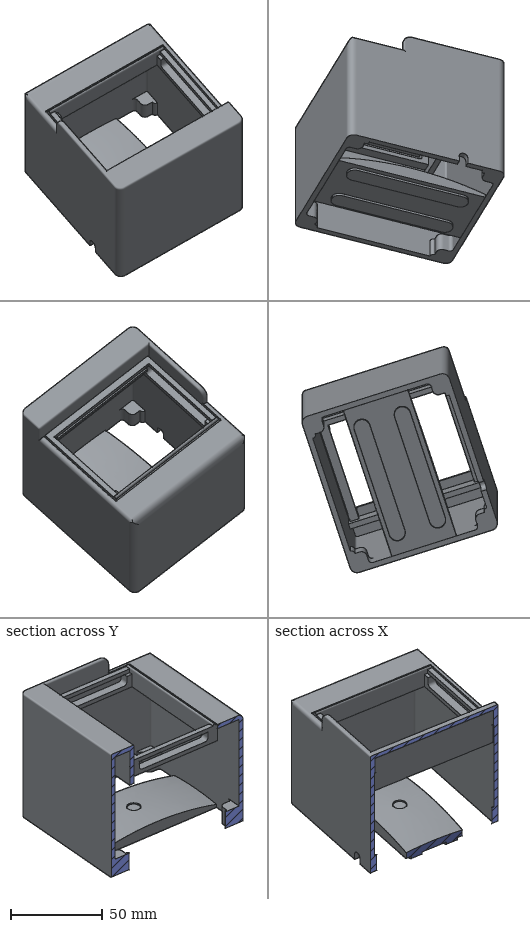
import cadquery as cq
import math

LENGTH = 92.0
WIDTH = 84.5
DECK_Z = 70.1
TOP_Z = 80.1
WALL = 3.0
CORNER_R = 4.05
SIDE_EDGE_R = 2.0
RAISED_EDGE_R = 1.0
OPENING_X0 = 18.0
BLOCK_X0 = 76.0
BLOCK_WALL_Z0 = 54.8
SIDE_WALL_X0 = 31.9
SIDE_WALL_CORNER_R = 5.0

NOTCH_X = 66.9
NOTCH_WIDTH = 5.0
NOTCH_HEIGHT = 6.2

BOSS_SIDE = 7.8
BOSS_HEIGHT = 11.0
BOSS_CORNER_R = 3.0
BOSS_BLEND_R = 2.0

FRAME_GAP = 0.9
FRAME_TOP_Z = DECK_Z
FRAME_HEIGHT = 10.7
LIP_HEIGHT = 2.5
WINDOW_X0 = 21.0
WINDOW_X1 = 71.9
RAIL_WIDTH = 3.0
LEDGE_WIDTH = 2.0
SLOT_X0 = 24.6
SLOT_X1 = 72.2
SLOT_HEIGHT = 5.6
SLOT_R = 2.0
REAR_TAB_WIDTH = 1.0
REAR_TAB_HEIGHT = 1.75
BEAD_R = 1.0

PLATE_WIDTH = 37.2
PLATE_EDGE_Z = 3.0
DOME_R = 174.8
RECESS_D = 7.7
RECESS_DEPTH = 0.9
FOOT_LENGTH = 70.9
FOOT_WIDTH = 8.9
FOOT_HEIGHT = 1.5
FOOT_SPACING = 23.2

MID_X = LENGTH / 2
MID_Y = WIDTH / 2
INNER_X1 = LENGTH - WALL
INNER_Y1 = WIDTH - WALL
INNER_LENGTH = LENGTH - 2 * WALL
INNER_R = CORNER_R - WALL


def box(x0, x1, y0, y1, z0, z1):
    """A box given by its limits along each axis."""
    return cq.Workplane("XY").box(x1 - x0, y1 - y0, z1 - z0, centered=False).translate((x0, y0, z0))


def rounded_plan(x0, x1, y0, y1, z0, z1, radius):
    """A box with rounded vertical corners."""
    return box(x0, x1, y0, y1, z0, z1).edges("|Z").fillet(radius)


def lower_shell():
    """Block up to the deck: the common part of three prisms, each rounding one set of edges."""
    plan = rounded_plan(0, LENGTH, 0, WIDTH, 0, DECK_Z, CORNER_R)
    side_profile = box(0, LENGTH, 0, WIDTH, 0, DECK_Z).edges("<X and >Z").fillet(CORNER_R)
    end_profile = box(0, LENGTH, 0, WIDTH, 0, DECK_Z).edges("|X and >Z").fillet(SIDE_EDGE_R)
    return plan.intersect(side_profile).intersect(end_profile)


def raised_part():
    """Rear block over the full width, and the -Y wall that runs forward from it."""
    base_z = DECK_Z - SIDE_EDGE_R
    block = box(BLOCK_X0, LENGTH, 0, WIDTH, base_z, TOP_Z)
    side_wall = box(SIDE_WALL_X0, LENGTH, 0, WALL, base_z, TOP_Z)
    raised = block.union(side_wall)
    raised = raised.edges("|Z and >X").fillet(CORNER_R)
    raised = raised.edges("|Y and <X and >Z").fillet(SIDE_WALL_CORNER_R)
    raised = raised.edges("|Z").edges(">Y").edges("<X").fillet(RAISED_EDGE_R)
    return raised.faces(">Z").edges().fillet(RAISED_EDGE_R)


def cavity():
    """Inside of the housing, open at the bottom and through the top between deck and block."""
    main = rounded_plan(WALL, INNER_X1, WALL, INNER_Y1, 0, DECK_Z - WALL, INNER_R)
    opening = box(OPENING_X0, BLOCK_X0, WALL, INNER_Y1, 0, TOP_Z)
    block_inside = rounded_plan(BLOCK_X0 + WALL, INNER_X1, WALL, INNER_Y1, 0, TOP_Z - WALL, INNER_R)
    block_wall = box(BLOCK_X0, BLOCK_X0 + WALL, WALL, INNER_Y1, BLOCK_WALL_Z0, TOP_Z)
    return main.union(opening).union(block_inside).cut(block_wall)


def cable_notch():
    """Round-topped notch through the -Y wall at its lower edge."""
    straight_height = NOTCH_HEIGHT - NOTCH_WIDTH / 2
    return (
        cq.Workplane("XZ")
        .moveTo(NOTCH_X - NOTCH_WIDTH / 2, 0)
        .lineTo(NOTCH_X - NOTCH_WIDTH / 2, straight_height)
        .threePointArc((NOTCH_X, NOTCH_HEIGHT), (NOTCH_X + NOTCH_WIDTH / 2, straight_height))
        .lineTo(NOTCH_X + NOTCH_WIDTH / 2, 0)
        .close()
        .extrude(-WALL)
    )


def corner_post():
    """Post in the inner corner at (WALL, WALL), blended into both walls."""
    root = -WALL / 2
    toe = BOSS_SIDE + BOSS_BLEND_R
    shoulder = BOSS_SIDE - BOSS_CORNER_R
    return (
        cq.Workplane("XY", origin=(WALL, WALL, 0))
        .moveTo(root, root)
        .lineTo(toe, root)
        .lineTo(toe, 0)
        .tangentArcPoint((BOSS_SIDE, BOSS_BLEND_R), relative=False)
        .lineTo(BOSS_SIDE, shoulder)
        .tangentArcPoint((shoulder, BOSS_SIDE), relative=False)
        .lineTo(BOSS_BLEND_R, BOSS_SIDE)
        .tangentArcPoint((0, toe), relative=False)
        .lineTo(root, toe)
        .close()
        .extrude(BOSS_HEIGHT)
    )


def make_housing():
    housing = lower_shell().union(raised_part()).cut(cavity()).cut(cable_notch())
    front_post = corner_post()
    rear_post = front_post.mirror("YZ", (MID_X, MID_Y, 0))
    for post in (front_post, rear_post):
        housing = housing.union(post).union(post.mirror("XZ", (MID_X, MID_Y, 0)))
    return housing


def make_frame():
    y0 = WALL + FRAME_GAP
    y1 = WIDTH - y0
    bottom_z = FRAME_TOP_Z - FRAME_HEIGHT
    lip_z = FRAME_TOP_Z - LIP_HEIGHT
    rail_y0 = y0 + RAIL_WIDTH
    rail_y1 = y1 - RAIL_WIDTH
    ledge_y0 = rail_y0 + LEDGE_WIDTH
    ledge_y1 = rail_y1 - LEDGE_WIDTH

    frame = box(OPENING_X0, BLOCK_X0, y0, y1, bottom_z, FRAME_TOP_Z)
    window = box(WINDOW_X0, WINDOW_X1, rail_y0, rail_y1, lip_z, FRAME_TOP_Z)
    space_below = box(WINDOW_X0, BLOCK_X0, ledge_y0, ledge_y1, bottom_z, lip_z)
    slot = box(SLOT_X0, SLOT_X1, y0, y1, lip_z - SLOT_HEIGHT, lip_z).edges("|Y and <Z").fillet(SLOT_R)
    rear_tab = box(
        WINDOW_X1 - REAR_TAB_WIDTH, BLOCK_X0, ledge_y0, ledge_y1, lip_z - REAR_TAB_HEIGHT, lip_z
    )
    bead = (
        cq.Workplane("XZ", origin=(WINDOW_X0 - BEAD_R, y0, FRAME_TOP_Z))
        .circle(BEAD_R)
        .extrude(y0 - y1)
    )
    return frame.cut(window).cut(space_below).cut(slot).union(rear_tab).union(bead)


def make_base_plate():
    """Crossbar between the end walls with a domed top, a central recess and two long feet."""
    half_length = INNER_LENGTH / 2
    dome_center_z = PLATE_EDGE_Z - math.sqrt(DOME_R**2 - half_length**2)
    crown_z = dome_center_z + DOME_R
    plate = box(
        WALL, INNER_X1, MID_Y - PLATE_WIDTH / 2, MID_Y + PLATE_WIDTH / 2, 0, crown_z
    )
    dome = cq.Workplane("XY").sphere(DOME_R).translate((MID_X, MID_Y, dome_center_z))
    recess = (
        cq.Workplane("XY", origin=(MID_X, MID_Y, crown_z - RECESS_DEPTH))
        .circle(RECESS_D / 2)
        .extrude(RECESS_DEPTH)
    )
    feet = (
        cq.Workplane("XY")
        .pushPoints([(MID_X, MID_Y + side * FOOT_SPACING / 2) for side in (-1, 1)])
        .slot2D(FOOT_LENGTH, FOOT_WIDTH)
        .extrude(-FOOT_HEIGHT)
    )
    return plate.intersect(dome).cut(recess).union(feet)


housing = make_housing()
frame = make_frame()
base_plate = make_base_plate()
result = cq.Compound.makeCompound([housing.val(), frame.val(), base_plate.val()])